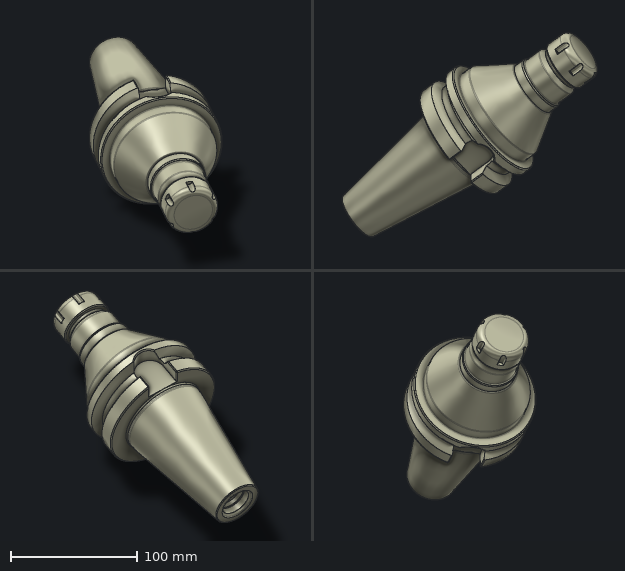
import cadquery as cq
import math


TAPER_LENGTH = 100.5
TAPER_SLOPE = 7 / 48
TAPER_SMALL_RADIUS = 20.2
TAPER_TIP_CHAMFER = 0.7
TAPER_LARGE_RADIUS = TAPER_SMALL_RADIUS + TAPER_SLOPE * TAPER_LENGTH
COLLAR_START = 101.8
COLLAR_END = 103.2
COLLAR_RADIUS = 34.8

BORE_MOUTH_RADIUS = 14.5
BORE_MOUTH_STEP_RADIUS = 13.7
BORE_MOUTH_STEP_DEPTH = 0.7
BORE_GUIDE_RADIUS = 12.3
BORE_GUIDE_START = 2.5
BORE_GUIDE_END = 8.3
BORE_RELIEF_RADIUS = 11.5
BORE_RELIEF_START = 9.0
BORE_RELIEF_END = 13.0
BORE_THREAD_RADIUS = 10.5
BORE_THREAD_START = 14.5
BORE_DEPTH = 58.0
BORE_TIP_ANGLE = 118.0

FLANGE_DIAMETER = 100.0
FLANGE_RADIUS = FLANGE_DIAMETER / 2
FLANGE_START = 104.8
FLANGE_END = 139.8
FLANGE_CHAMFER = 1.0
GROOVE_RADIUS = 42.5
GROOVE_START = 117.3
GROOVE_FLOOR_START = 121.7
GROOVE_FLOOR_END = 128.0
GROOVE_END = 132.1

SLOT_WIDTH = 25.7
SLOT_FLOOR_HEIGHT = 35.5
SLOT_LENGTH = 31.3
SLOT_EDGE_CHAMFER = 1.0

BODY_RADIUS = 42.5
BODY_ROUNDING = 1.6
BODY_FOOT_ROUNDING = 0.5
BODY_END = 150.2
CONE_END = 180.3
CONE_END_RADIUS = 24.0
CONE_END_ROUNDING = 0.7
COLLET_SEAT_RADIUS = 23.0
COLLET_SEAT_END = 189.4
COLLET_SEAT_BEVEL_LENGTH = 1.5
COLLET_SEAT_RIM_RADIUS = 22.5
NOSE_RADIUS = 21.3
NOSE_FOOT_ROUNDING = 0.7
NOSE_ROUNDING = 1.0
NOSE_END = 204.5
NOSE_BEVEL_END = 208.5
NOSE_BEVEL_RADIUS = 18.3
NECK_RADIUS = 17.5
NECK_FOOT_ROUNDING = 0.5

NUT_RADIUS = 21.3
NUT_START = 211.6
NUT_END = 231.8
NUT_CHAMFER = 1.0
NUT_ROUNDING = 5.5
NUT_SLOT_START = 219.5
NUT_SLOT_RADIUS = 2.5
NUT_SLOT_COUNT = 6

SELECT_MARGIN = 0.2


def revolve_about_x(profile):
    return profile.close().revolve(360, (0, 0, 0), (1, 0, 0))


def make_holder_blank():
    flange_rim = FLANGE_RADIUS - FLANGE_CHAMFER
    profile = cq.Workplane("XY").polyline([
        (0, 0),
        (0, TAPER_SMALL_RADIUS - TAPER_TIP_CHAMFER),
        (TAPER_TIP_CHAMFER, TAPER_SMALL_RADIUS + TAPER_SLOPE * TAPER_TIP_CHAMFER),
        (TAPER_LENGTH, TAPER_LARGE_RADIUS),
        (COLLAR_START, COLLAR_RADIUS),
        (COLLAR_END, COLLAR_RADIUS),
        (FLANGE_START, SLOT_FLOOR_HEIGHT),
        (FLANGE_START, flange_rim),
        (FLANGE_START + FLANGE_CHAMFER, FLANGE_RADIUS),
        (GROOVE_START, FLANGE_RADIUS),
        (GROOVE_FLOOR_START, GROOVE_RADIUS),
        (GROOVE_FLOOR_END, GROOVE_RADIUS),
        (GROOVE_END, FLANGE_RADIUS),
        (FLANGE_END - FLANGE_CHAMFER, FLANGE_RADIUS),
        (FLANGE_END, flange_rim),
        (FLANGE_END, BODY_RADIUS),
        (BODY_END, BODY_RADIUS),
        (CONE_END, CONE_END_RADIUS),
        (CONE_END, COLLET_SEAT_RADIUS),
        (COLLET_SEAT_END - COLLET_SEAT_BEVEL_LENGTH, COLLET_SEAT_RADIUS),
        (COLLET_SEAT_END, COLLET_SEAT_RIM_RADIUS),
        (COLLET_SEAT_END, NOSE_RADIUS),
        (NOSE_END, NOSE_RADIUS),
        (NOSE_BEVEL_END, NOSE_BEVEL_RADIUS),
        (NOSE_BEVEL_END, NECK_RADIUS),
        (NUT_START, NECK_RADIUS),
        (NUT_START, 0),
    ])
    return revolve_about_x(profile)


def round_ring(holder, x, radius, rounding):
    """Round the circular edge of the given radius that lies in the plane at x."""
    outer_reach = radius + SELECT_MARGIN
    corner = cq.Vector(SELECT_MARGIN, outer_reach, outer_reach)
    plane_point = cq.Vector(x, 0, 0)
    ring = cq.selectors.BoxSelector(plane_point - corner, plane_point + corner, boundingbox=True)
    largest = cq.selectors.RadiusNthSelector(-1)
    return holder.edges(ring).edges(largest).fillet(rounding)


def round_body_edges(holder):
    holder = round_ring(holder, FLANGE_END, BODY_RADIUS, BODY_FOOT_ROUNDING)
    holder = round_ring(holder, BODY_END, BODY_RADIUS, BODY_ROUNDING)
    holder = round_ring(holder, CONE_END, CONE_END_RADIUS, CONE_END_ROUNDING)
    holder = round_ring(holder, COLLET_SEAT_END, NOSE_RADIUS, NOSE_FOOT_ROUNDING)
    holder = round_ring(holder, NOSE_END, NOSE_RADIUS, NOSE_ROUNDING)
    return round_ring(holder, NOSE_BEVEL_END, NECK_RADIUS, NECK_FOOT_ROUNDING)


def make_bore():
    tip_length = BORE_THREAD_RADIUS / math.tan(math.radians(BORE_TIP_ANGLE / 2))
    profile = cq.Workplane("XY").polyline([
        (0, 0),
        (0, BORE_MOUTH_RADIUS),
        (BORE_MOUTH_STEP_DEPTH, BORE_MOUTH_STEP_RADIUS),
        (BORE_GUIDE_START, BORE_GUIDE_RADIUS),
        (BORE_GUIDE_END, BORE_GUIDE_RADIUS),
        (BORE_RELIEF_START, BORE_RELIEF_RADIUS),
        (BORE_RELIEF_END, BORE_RELIEF_RADIUS),
        (BORE_THREAD_START, BORE_THREAD_RADIUS),
        (BORE_DEPTH, BORE_THREAD_RADIUS),
        (BORE_DEPTH + tip_length, 0),
    ])
    return revolve_about_x(profile)


def make_slot_cutter(side):
    """Round-ended driving slot, open at the flange's front face; side is +1 (top) or -1."""
    half_width = SLOT_WIDTH / 2
    arc_centre = FLANGE_START + SLOT_LENGTH - half_width
    outline = (
        cq.Workplane("XY", origin=(0, 0, side * SLOT_FLOOR_HEIGHT))
        .moveTo(FLANGE_START, -half_width)
        .lineTo(arc_centre, -half_width)
        .threePointArc((arc_centre + half_width, 0), (arc_centre, half_width))
        .lineTo(FLANGE_START, half_width)
        .close()
    )
    return outline.extrude(side * (FLANGE_RADIUS - SLOT_FLOOR_HEIGHT))


def chamfer_slot_edges(holder, side):
    """Chamfer the slot's mouth edges on the first flange disc and its rim on the second."""
    half_width = SLOT_WIDTH / 2
    floor = side * (SLOT_FLOOR_HEIGHT - SELECT_MARGIN)
    top = side * (FLANGE_RADIUS + SELECT_MARGIN)
    mouth_left, mouth_right = [
        cq.selectors.BoxSelector(
            (FLANGE_START - SELECT_MARGIN, wall - SELECT_MARGIN, floor),
            (GROOVE_START + SELECT_MARGIN, wall + SELECT_MARGIN, top),
            boundingbox=True,
        )
        for wall in (half_width, -half_width)
    ]
    round_end_rim = cq.selectors.BoxSelector(
        (GROOVE_END - SELECT_MARGIN, -half_width, side * GROOVE_RADIUS),
        (FLANGE_END - FLANGE_CHAMFER - SELECT_MARGIN, half_width, top),
        boundingbox=True,
    )
    mouth_and_rim = mouth_left + mouth_right + round_end_rim
    return holder.edges(mouth_and_rim).chamfer(SLOT_EDGE_CHAMFER)


def make_holder():
    holder = round_body_edges(make_holder_blank()).cut(make_bore())
    for side in (1, -1):
        holder = holder.cut(make_slot_cutter(side))
        holder = chamfer_slot_edges(holder, side)
    return holder


def make_nut():
    profile = (
        cq.Workplane("XY")
        .moveTo(NUT_START, 0)
        .lineTo(NUT_START, NUT_RADIUS - NUT_CHAMFER)
        .lineTo(NUT_START + NUT_CHAMFER, NUT_RADIUS)
        .lineTo(NUT_END - NUT_ROUNDING, NUT_RADIUS)
        .radiusArc((NUT_END, NUT_RADIUS - NUT_ROUNDING), NUT_ROUNDING)
        .lineTo(NUT_END, 0)
    )
    nut = revolve_about_x(profile)
    for index in range(NUT_SLOT_COUNT):
        slot = (
            cq.Workplane("YZ", origin=(NUT_SLOT_START, 0, NUT_RADIUS))
            .circle(NUT_SLOT_RADIUS)
            .extrude(NUT_END - NUT_SLOT_START)
        )
        nut = nut.cut(slot.rotate((0, 0, 0), (1, 0, 0), index * 360 / NUT_SLOT_COUNT))
    return nut


holder = make_holder()
nut = make_nut()
result = cq.Compound.makeCompound([holder.val(), nut.val()])